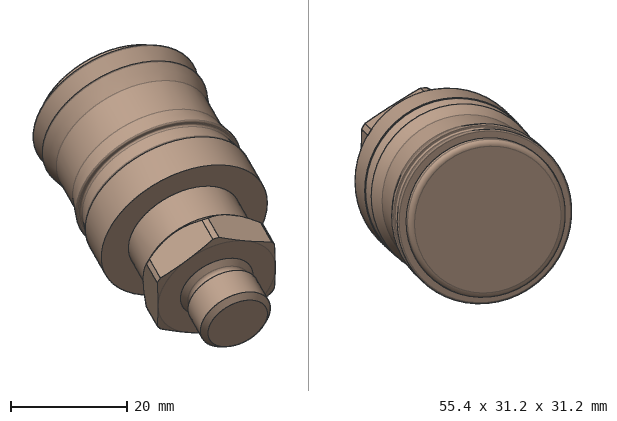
import cadquery as cq
import math

total_length = 55.35

cap_radius = 14.0
cap_edge_radius = 1.0

sleeve_start = 2.05
rib_pitch = 4.0
rib_peak_radius = 15.5
rib_slope = math.radians(15)
rib_tip_round = 0.3
rib_root_round = 0.35
waist_radius = 14.5
grip_middle = 13.6

tip_centre_radius = rib_peak_radius - rib_tip_round
tip_length = rib_tip_round * (1 + math.sin(rib_slope))
tip_end_radius = tip_centre_radius + rib_tip_round * math.cos(rib_slope)

collar_start = 2 * grip_middle - sleeve_start
collar_end = 32.15
collar_radius = 15.6
body_radius = 10.5

hex_start = 39.25
hex_end = 46.2
hex_across_flats = 22.0
hex_corner_radius = 12.4
hex_back_chamfer = 0.35

thread_radius = 6.6
thread_start = 48.95
thread_chamfer = 1.0
undercut_round = 1.05


def ring(start, end, radius):
    """Solid round bar along X."""
    return cq.Workplane("YZ").workplane(offset=start).circle(radius).extrude(end - start)


def revolve_about_x(profile):
    """Turn a closed profile, drawn as (axial position, radius), about the X axis."""
    return profile.close().revolve(360, (0, 0, 0), (1, 0, 0))


def cap():
    bar = ring(0, sleeve_start, cap_radius)
    return bar.faces("<X").edges().fillet(cap_edge_radius)


def add_rib_tip(profile, rib_face):
    """Continue the profile up the steep rib face and round the tip into the cone."""
    middle_angle = (math.pi + math.pi / 2 - rib_slope) / 2
    middle = (
        rib_face + rib_tip_round * (1 + math.cos(middle_angle)),
        tip_centre_radius + rib_tip_round * math.sin(middle_angle),
    )
    return profile.lineTo(rib_face, tip_centre_radius).threePointArc(
        middle, (rib_face + tip_length, tip_end_radius)
    )


def front_half_of_grip():
    """Two ribs, each with a steep front face and a cone falling towards the waist."""
    second_rib = sleeve_start + rib_pitch
    root_centre = second_rib - rib_root_round
    cone_drop = (root_centre - sleeve_start - rib_tip_round) * math.tan(rib_slope)
    root_clearance = (rib_root_round + rib_tip_round) / math.cos(rib_slope)
    root_centre_radius = tip_centre_radius - cone_drop + root_clearance
    root_start = (
        root_centre - rib_root_round * math.sin(rib_slope),
        root_centre_radius - rib_root_round * math.cos(rib_slope),
    )
    middle_angle = (math.pi / 2 - rib_slope) / 2
    root_middle = (
        root_centre + rib_root_round * math.sin(middle_angle),
        root_centre_radius - rib_root_round * math.cos(middle_angle),
    )

    cone_length = (tip_end_radius - waist_radius) / math.tan(rib_slope)
    waist_start = second_rib + tip_length + cone_length

    profile = cq.Workplane("XY").moveTo(sleeve_start, 0)
    profile = add_rib_tip(profile, sleeve_start)
    profile = profile.lineTo(*root_start).threePointArc(root_middle, (second_rib, root_centre_radius))
    profile = add_rib_tip(profile, second_rib)
    profile = (
        profile.lineTo(waist_start, waist_radius)
        .lineTo(grip_middle, waist_radius)
        .lineTo(grip_middle, 0)
    )
    return revolve_about_x(profile)


def grip():
    half = front_half_of_grip()
    return half.union(half.mirror("YZ", (grip_middle, 0, 0)))


def hexagon():
    """Hexagon with flats facing +-Y, trimmed by a turned outline with conical ends."""
    across_corners = hex_across_flats / math.cos(math.pi / 6)
    prism = (
        cq.Workplane("YZ")
        .workplane(offset=hex_start)
        .polygon(6, across_corners)
        .extrude(hex_end - hex_start)
        .rotate((0, 0, 0), (1, 0, 0), 90)
    )
    front_cone_length = hex_corner_radius - body_radius
    turned_outline = (
        cq.Workplane("XY")
        .moveTo(hex_start, 0)
        .lineTo(hex_start, body_radius)
        .lineTo(hex_start + front_cone_length, hex_corner_radius)
        .lineTo(hex_end - hex_back_chamfer, hex_corner_radius)
        .lineTo(hex_end, hex_across_flats / 2)
        .lineTo(hex_end, 0)
    )
    return prism.intersect(revolve_about_x(turned_outline))


def spigot():
    """Thread with a 45 degree end chamfer and an undercut that leaves along a 45 degree cone."""
    diagonal = undercut_round * math.sin(math.pi / 4)
    undercut_centre = thread_start - undercut_round
    arc_start = undercut_centre - diagonal
    arc_start_radius = thread_radius - diagonal
    cone_start_radius = arc_start_radius + arc_start - hex_end
    profile = (
        cq.Workplane("XY")
        .moveTo(hex_end, 0)
        .lineTo(hex_end, cone_start_radius)
        .lineTo(arc_start, arc_start_radius)
        .threePointArc(
            (undercut_centre, thread_radius - undercut_round), (thread_start, thread_radius)
        )
        .lineTo(total_length - thread_chamfer, thread_radius)
        .lineTo(total_length, thread_radius - thread_chamfer)
        .lineTo(total_length, 0)
    )
    return revolve_about_x(profile)


collar = ring(collar_start, collar_end, collar_radius)
body = ring(collar_end, hex_start, body_radius)

result = cap().union(grip()).union(collar).union(body).union(hexagon()).union(spigot())